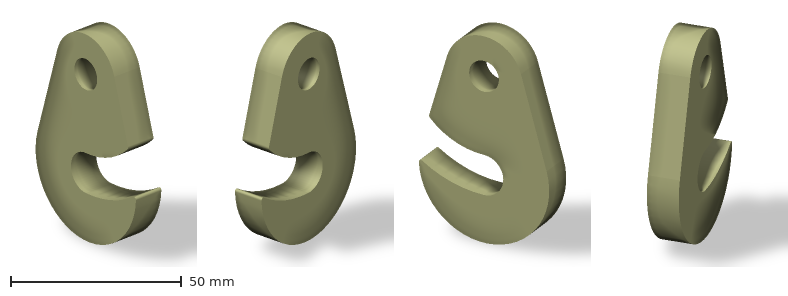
import cadquery as cq
import math

thickness = 9.97
eye_radius = 13.0
eye_hole_diameter = 10.0
hook_radius = 22.0
eye_height = 32.0
throat_radius = 6.5
mouth_sweep = math.radians(60)
tip_fillet = 0.7
corner_fillet = 1.0

tangent_sine = (hook_radius - eye_radius) / eye_height
tangent_cosine = math.sqrt(1 - tangent_sine**2)

upper_mouth_radius = eye_height - throat_radius
lower_mouth_radius = eye_height + throat_radius


def tangent_point(radius, centre_height, side):
    """Point where a side line touches a circle; side is -1 (left) or +1 (right)."""
    return (side * radius * tangent_cosine, centre_height + radius * tangent_sine)


def mouth_point(radius, angle):
    """Point on an arc about the eye centre, at an angle from straight down."""
    return (radius * math.sin(angle), eye_height - radius * math.cos(angle))


def extrude_through(outline):
    """Extrude an XZ outline over the plate thickness, centred on Y = 0."""
    return outline.extrude(thickness / 2, both=True)


def make_body():
    """Teardrop plate wrapping the eye and hook circles."""
    eye_left = tangent_point(eye_radius, eye_height, -1)
    eye_right = tangent_point(eye_radius, eye_height, 1)
    hook_left = tangent_point(hook_radius, 0, -1)
    hook_right = tangent_point(hook_radius, 0, 1)
    outline = (
        cq.Workplane("XZ")
        .moveTo(*hook_left)
        .lineTo(*eye_left)
        .threePointArc((0, eye_height + eye_radius), eye_right)
        .lineTo(*hook_right)
        .threePointArc((0, -hook_radius), hook_left)
        .close()
    )
    return extrude_through(outline)


def make_mouth():
    """Curved slot that opens through the right side of the hook."""
    lower_middle = mouth_point(lower_mouth_radius, mouth_sweep / 2)
    lower_end = mouth_point(lower_mouth_radius, mouth_sweep)
    upper_middle = mouth_point(upper_mouth_radius, mouth_sweep / 2)
    upper_end = mouth_point(upper_mouth_radius, mouth_sweep)
    outline = (
        cq.Workplane("XZ")
        .moveTo(0, throat_radius)
        .threePointArc((-throat_radius, 0), (0, -throat_radius))
        .threePointArc(lower_middle, lower_end)
        .lineTo(*upper_end)
        .threePointArc(upper_middle, (0, throat_radius))
        .close()
    )
    return extrude_through(outline)


def make_eye_hole():
    """Round hole through the eye."""
    return extrude_through(cq.Workplane("XZ").center(0, eye_height).circle(eye_hole_diameter / 2))


def round_mouth_corners(hook):
    """Round the hook's tip and the sharp corner above the mouth's opening."""
    tip_rounded = hook.edges("|Y").edges(">X").fillet(tip_fillet)
    beside_corner = (hook_radius, 0, eye_height / 2)
    nearest_edge = cq.selectors.NearestToPointSelector(beside_corner)
    return tip_rounded.edges("|Y").edges(nearest_edge).fillet(corner_fillet)


result = round_mouth_corners(make_body().cut(make_mouth()).cut(make_eye_hole()))